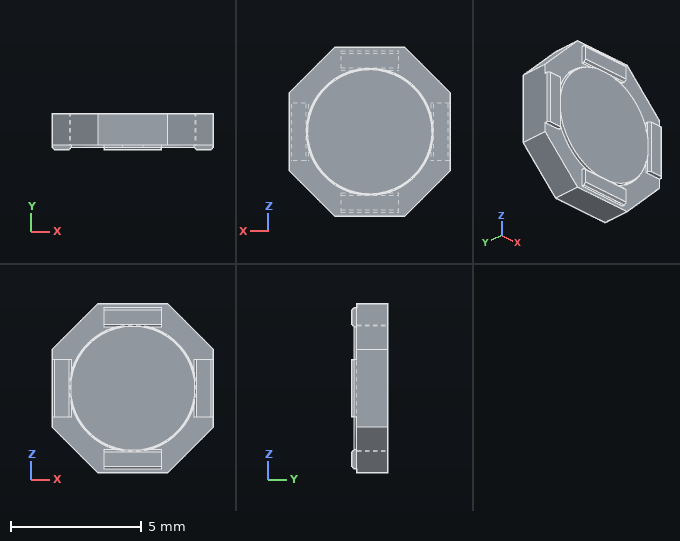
import cadquery as cq

body_width = 6.2
body_height = 6.5
corner_cut = 1.755
body_depth = 1.2

core_radius = 2.39
core_gap = 0.045
core_rise = 0.105

pad_length = 2.2
pad_width = 0.74
pad_rise = 0.195
pad_chamfer = 0.1
pad_outer = body_width / 2
pad_inner = pad_outer - pad_width
pad_count = 4


def make_ring():
    """Octagonal plate with a round through hole; its front face lies at Y = 0."""
    plate = (
        cq.Workplane("XZ")
        .rect(body_width, body_height)
        .extrude(-body_depth)
        .edges("|Y")
        .chamfer(corner_cut)
    )
    hole = cq.Workplane("XZ").circle(core_radius + core_gap).extrude(-body_depth)
    return plate.cut(hole)


def make_core():
    """Cylinder flush with the back of the ring and standing proud of its front."""
    return (
        cq.Workplane("XZ", origin=(0, body_depth, 0))
        .circle(core_radius)
        .extrude(body_depth + core_rise)
    )


def make_pad():
    """Bar on the +X side with both long front edges chamfered."""
    return (
        cq.Workplane("XY", origin=(0, 0, -pad_length / 2))
        .moveTo(pad_inner, 0)
        .lineTo(pad_outer, 0)
        .lineTo(pad_outer, pad_chamfer - pad_rise)
        .lineTo(pad_outer - pad_chamfer, -pad_rise)
        .lineTo(pad_inner + pad_chamfer, -pad_rise)
        .lineTo(pad_inner, pad_chamfer - pad_rise)
        .close()
        .extrude(pad_length)
    )


result = make_ring().union(make_core())
pad = make_pad()
for index in range(pad_count):
    angle = index * 360 / pad_count
    result = result.union(pad.rotate((0, 0, 0), (0, 1, 0), angle))